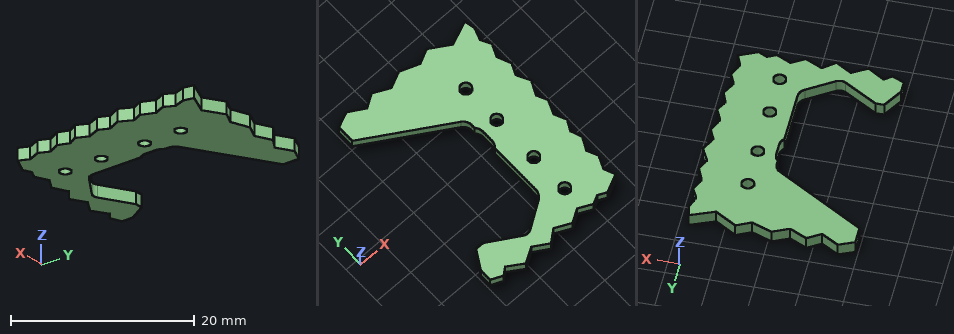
import cadquery as cq

PLATE_WIDTH = 19.31
PLATE_LENGTH = 26.59
THICKNESS = 1.6

LEFT_X = -13.35
RIGHT_TIP_X = LEFT_X + PLATE_WIDTH
TOP_TIP_Y = 14.77
BOTTOM_TIP_Y = TOP_TIP_Y - PLATE_LENGTH

HOLE_DIAMETER = 1.4
INNER_HOLE_SPACING = 6.0
OUTER_HOLE_STEP = 5.0

OPENING_WALL_X = -2.45
UPPER_ARM_CORNER_Y = 11.8
UPPER_CORNER_Y = 5.08
LOWER_CORNER_Y = -6.69
VALLEY_POINT = (-6.6, -9.4)
HOOK_TIP_Y = -6.75
HOOK_TIP_LEFT_X = -11.98
HOOK_TIP_RIGHT_X = -10.98
HOOK_BASE_Y = -9.05
CORNER_RADIUS = 1.25
VALLEY_RADIUS = 1.0

RELIEF_CENTER_Y = 2.25
RELIEF_LENGTH = 4.04
RELIEF_DEPTH = 0.38
RELIEF_RADIUS = 1.3

TOP_TEETH = [
    (LEFT_X, 13.98),
    (-11.55, TOP_TIP_Y),
    (-9.54, 13.58),
    (-7.98, 14.56),
    (-5.96, 13.57),
    (-4.06, 14.45),
    (-1.69, 13.56),
    (0.00, 14.38),
    (2.48, 12.83),
    (5.31, 14.00),
]
RIGHT_TEETH = [
    (5.58, 12.67),
    (5.07, 11.22),
    (5.71, 9.97),
    (5.05, 8.51),
    (5.75, 6.83),
    (5.13, 5.52),
    (RIGHT_TIP_X, 3.89),
    (5.15, 2.25),
    (5.75, 0.92),
    (5.05, -0.71),
    (5.72, -2.18),
    (5.05, -3.40),
    (5.56, -4.80),
    (4.78, -6.31),
    (5.38, -7.65),
    (4.69, -9.19),
    (5.26, -10.52),
]
BOTTOM_TEETH = [
    (3.13, -11.52),
    (2.08, -11.02),
    (1.07, -11.52),
    (-0.63, -10.70),
    (-2.15, -11.63),
    (-4.12, -10.68),
    (-5.52, BOTTOM_TIP_Y),
    (-7.38, -10.68),
    (-9.15, -11.73),
    (-11.08, -10.48),
    (-11.93, -11.15),
    (LEFT_X, -10.53),
]
OPENING_CORNERS = [
    (LEFT_X, HOOK_BASE_Y),
    (HOOK_TIP_LEFT_X, HOOK_TIP_Y),
    (HOOK_TIP_RIGHT_X, HOOK_TIP_Y),
    VALLEY_POINT,
    (OPENING_WALL_X, LOWER_CORNER_Y),
    (OPENING_WALL_X, UPPER_CORNER_Y),
    (LEFT_X, UPPER_ARM_CORNER_Y),
]


def edge_at(plate, point):
    """Vertical edge of the plate through the given outline corner."""
    return plate.edges("|Z").edges(cq.selectors.NearestToPointSelector((*point, THICKNESS / 2)))


def make_plate():
    """Sawtooth-edged C-shaped plate with rounded corners in its opening."""
    corners = TOP_TEETH + RIGHT_TEETH + BOTTOM_TEETH + OPENING_CORNERS
    plate = cq.Workplane("XY").polyline(corners).close().extrude(THICKNESS)
    rounded_corners = [
        (VALLEY_POINT, VALLEY_RADIUS),
        ((OPENING_WALL_X, LOWER_CORNER_Y), CORNER_RADIUS),
        ((OPENING_WALL_X, UPPER_CORNER_Y), CORNER_RADIUS),
    ]
    for point, radius in rounded_corners:
        plate = edge_at(plate, point).fillet(radius)
    return plate


def make_relief():
    """Block with rounded corners that dips into the opening wall."""
    width = 2 * RELIEF_RADIUS + RELIEF_DEPTH
    center_x = OPENING_WALL_X + RELIEF_DEPTH - width / 2
    return (
        cq.Workplane("XY")
        .center(center_x, RELIEF_CENTER_Y)
        .rect(width, RELIEF_LENGTH)
        .extrude(THICKNESS)
        .edges("|Z and >X")
        .fillet(RELIEF_RADIUS)
    )


def make_holes():
    """Row of four through-hole cylinders along Y."""
    inner_y = INNER_HOLE_SPACING / 2
    outer_y = inner_y + OUTER_HOLE_STEP
    hole_centers = [(0, y) for y in (-outer_y, -inner_y, inner_y, outer_y)]
    return cq.Workplane("XY").pushPoints(hole_centers).circle(HOLE_DIAMETER / 2).extrude(THICKNESS)


result = make_plate().cut(make_relief()).cut(make_holes())